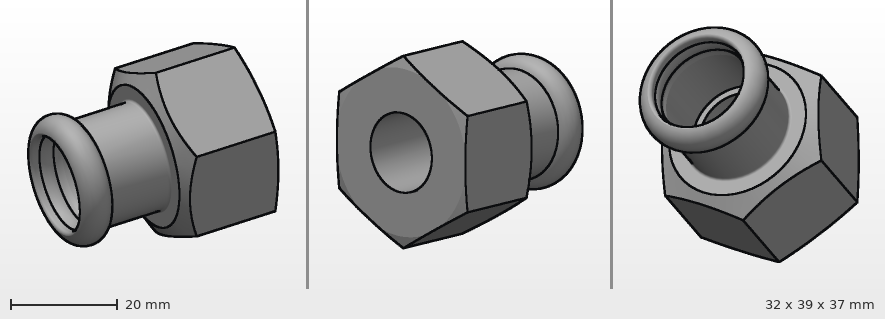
import cadquery as cq
import math


TOTAL_LENGTH = 39.0

ACROSS_FLATS = 32.0
SIDE_COUNT = 6
HALF_FLAT_ANGLE = 180.0 / SIDE_COUNT
NUT_LENGTH = 20.0
FRONT_FACE_DIAMETER = 28.0
FRONT_CHAMFER_ANGLE = 30.0
REAR_FACE_DIAMETER = 32.3
REAR_CHAMFER_ANGLE = 15.0

TUBE_DIAMETER = 21.3
SOCKET_DIAMETER = 18.3
BORE_DIAMETER = 15.3
ROOT_FILLET = 0.5

BEAD_RADIUS = 3.38
BEAD_DIAMETER = 25.72
LIP_DIAMETER = 18.7
LIP_ROUNDING = 0.7
SEAL_DIAMETER = 18.0
SEAL_WIDTH = 3.0
REAR_LIP_LENGTH = 0.95
SEAT_TAPER_LENGTH = 0.8

QUARTER_ARC_OFFSET = 1 - math.sqrt(0.5)

corner_radius = ACROSS_FLATS / 2 / math.cos(math.radians(HALF_FLAT_ANGLE))
bead_center_radius = BEAD_DIAMETER / 2 - BEAD_RADIUS
mouth_radius = LIP_DIAMETER / 2 + LIP_ROUNDING


def bead_half_width(radius):
    """Half the axial width of the bead's circle at the given distance from the axis."""
    return math.sqrt(BEAD_RADIUS**2 - (radius - bead_center_radius) ** 2)


bead_center_distance = TOTAL_LENGTH - bead_half_width(mouth_radius)


def chamfer_length(face_diameter, angle):
    """Axial length of a conical chamfer from the nut's end face to its corners."""
    return (corner_radius - face_diameter / 2) * math.tan(math.radians(angle))


def revolve_about_axis(profile):
    """Turn a closed profile, drawn as (radius, Y), about the Y axis."""
    return profile.close().revolve(360, (0, 0, 0), (0, 1, 0))


def make_nut():
    """Hexagonal prism with flats facing +X and -X and conical chamfers at both ends."""
    prism = (
        cq.Workplane("XZ")
        .polygon(SIDE_COUNT, 2 * corner_radius)
        .extrude(NUT_LENGTH)
        .rotate((0, 0, 0), (0, 1, 0), HALF_FLAT_ANGLE)
    )
    rear_chamfer = chamfer_length(REAR_FACE_DIAMETER, REAR_CHAMFER_ANGLE)
    front_chamfer = chamfer_length(FRONT_FACE_DIAMETER, FRONT_CHAMFER_ANGLE)
    envelope = revolve_about_axis(
        cq.Workplane("XY")
        .lineTo(REAR_FACE_DIAMETER / 2, 0)
        .lineTo(corner_radius, -rear_chamfer)
        .lineTo(corner_radius, -NUT_LENGTH + front_chamfer)
        .lineTo(FRONT_FACE_DIAMETER / 2, -NUT_LENGTH)
        .lineTo(0, -NUT_LENGTH)
    )
    return prism.intersect(envelope)


def make_socket_body():
    """Solid tube with a root fillet at the nut and the round bead at its mouth."""
    tube_radius = TUBE_DIAMETER / 2
    root_radius = tube_radius + ROOT_FILLET
    fillet_offset = ROOT_FILLET * QUARTER_ARC_OFFSET
    bead_start = bead_center_distance - bead_half_width(tube_radius)
    return revolve_about_axis(
        cq.Workplane("XY")
        .lineTo(root_radius, 0)
        .lineTo(root_radius, -NUT_LENGTH)
        .threePointArc(
            (tube_radius + fillet_offset, -NUT_LENGTH - fillet_offset),
            (tube_radius, -NUT_LENGTH - ROOT_FILLET),
        )
        .lineTo(tube_radius, -bead_start)
        .threePointArc(
            (BEAD_DIAMETER / 2, -bead_center_distance),
            (mouth_radius, -TOTAL_LENGTH),
        )
        .lineTo(0, -TOTAL_LENGTH)
    )


def make_cavity():
    """Stepped passage: bore, pipe socket up to the nut, bulging seal ring and rounded mouth."""
    socket_radius = SOCKET_DIAMETER / 2
    lip_radius = LIP_DIAMETER / 2
    seal_rear = bead_center_distance - SEAL_WIDTH / 2
    seal_front = bead_center_distance + SEAL_WIDTH / 2
    taper_front = seal_rear - REAR_LIP_LENGTH
    rounding_offset = LIP_ROUNDING * QUARTER_ARC_OFFSET
    return revolve_about_axis(
        cq.Workplane("XY")
        .lineTo(BORE_DIAMETER / 2, 0)
        .lineTo(BORE_DIAMETER / 2, -NUT_LENGTH)
        .lineTo(socket_radius, -NUT_LENGTH)
        .lineTo(socket_radius, -taper_front + SEAT_TAPER_LENGTH)
        .lineTo(lip_radius, -taper_front)
        .lineTo(lip_radius, -seal_rear)
        .threePointArc(
            (SEAL_DIAMETER / 2, -bead_center_distance),
            (lip_radius, -seal_front),
        )
        .lineTo(lip_radius, -TOTAL_LENGTH + LIP_ROUNDING)
        .threePointArc(
            (lip_radius + rounding_offset, -TOTAL_LENGTH + rounding_offset),
            (mouth_radius, -TOTAL_LENGTH),
        )
        .lineTo(0, -TOTAL_LENGTH)
    )


result = make_nut().union(make_socket_body()).cut(make_cavity())